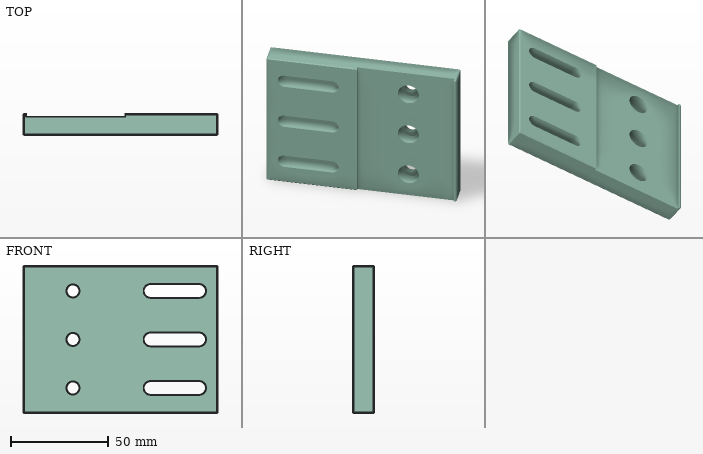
import cadquery as cq

length = 100.0
thickness = 11.0
height = 76.0
edge_chamfer = 0.5

channel_start = 1.3
channel_end = 52.4
channel_depth = 1.5

row_pitch = 25.0
hole_diameter = 6.6
hole_from_left = 25.5
counterbore_diameter = 11.0
counterbore_floor = 2.7
slot_width = 7.0
slot_length = 32.0
slot_centre_from_left = 78.0

left = -length / 2
row_heights = [-row_pitch, 0, row_pitch]


def row_points(from_left):
    """Feature centres in the XZ plane, one per row."""
    return [(left + from_left, z) for z in row_heights]


def chamfered_plate():
    return cq.Workplane("XY").box(length, thickness, height).edges().chamfer(edge_chamfer)


def channel():
    width = channel_end - channel_start
    centre_x = left + (channel_start + channel_end) / 2
    centre_y = (thickness - channel_depth) / 2
    return cq.Workplane("XY").box(width, channel_depth, height).translate((centre_x, centre_y, 0))


def through_holes():
    return (
        cq.Workplane("XZ")
        .pushPoints(row_points(hole_from_left))
        .circle(hole_diameter / 2)
        .extrude(thickness / 2, both=True)
    )


def counterbores():
    """Screw-head recesses on the back of the round holes, reaching past the channel."""
    return (
        cq.Workplane("XZ", origin=(0, -thickness / 2 + counterbore_floor, 0))
        .pushPoints(row_points(hole_from_left))
        .circle(counterbore_diameter / 2)
        .extrude(counterbore_floor - thickness)
    )


def through_slots():
    return (
        cq.Workplane("XZ")
        .pushPoints(row_points(slot_centre_from_left))
        .slot2D(slot_length, slot_width)
        .extrude(thickness / 2, both=True)
    )


result = (
    chamfered_plate()
    .cut(channel())
    .cut(through_holes())
    .cut(counterbores())
    .cut(through_slots())
)